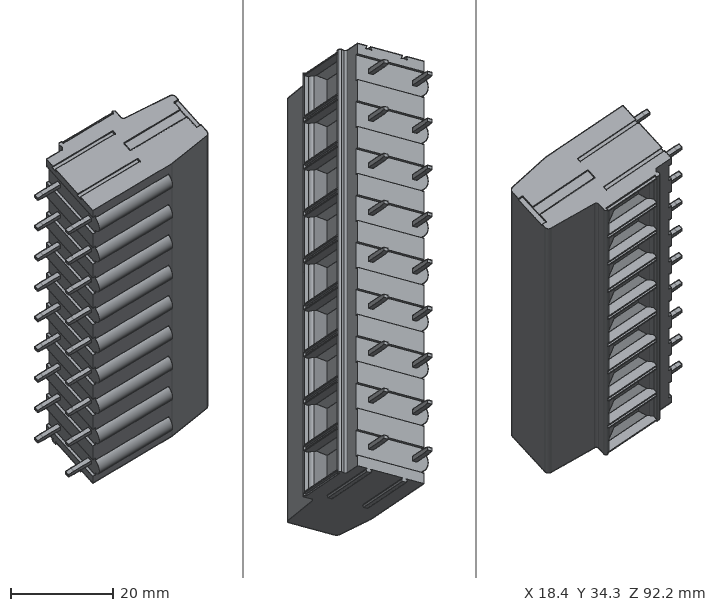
import cadquery as cq


pole_count = 9
pole_pitch = 10.16
body_length = pole_count * pole_pitch
total_width = 18.4
total_height = 34.3
body_height = 29.34

base_left = 1.65
base_right = 17.05
nose_bottom = 4.0
nose_top = 17.75
nose_corner = 0.45
nose_lip_rise = 0.2
nose_lip_end = 1.1
tower_foot = (2.75, 18.35)
tower_left_top = 3.65
tower_right_foot = 19.2
tower_right_top = 15.55
tower_corner = 0.9

mouth_low = 4.97
mouth_high = 16.9
mouth_half_length = 4.38
mouth_straight_depth = 1.95
mouth_low_lip_depth = 0.95
mouth_low_bend = (1.6, 5.54)
mouth_ledge_depth = 1.0
mouth_ledge_end = (1.75, 16.05)
mouth_ledge_radius = 1.0
mouth_floor_depth = 3.0
floor_low = 7.2
floor_high = 13.25
floor_half_length = 2.77

relief_depth = 0.55
relief_half_width = 0.42
relief_high = 17.15

channel_width = 5.55
channel_depth = 0.6
rib_chord = 4.4
rib_top = 18.4

pin_side = 1.0
pin_first_x = 5.08
pin_spacing = 10.16
pin_columns = 2
pin_tip_length = 1.3
pin_tip_inset = 0.15
pin_embed = 1.0

rail_centers = (4.25, 12.5)
rail_neck_width = 0.85
rail_wide_width = 1.35
rail_foot_width = 0.95
rail_wide_depth = 0.35
rail_depth = 0.75
rail_length = 14.2
slot_length = 14.55
slot_depth = 0.65

groove_depth = 0.3
label_depth = 0.42
groove_left = 7.45
groove_right = 9.65
groove_low = 14.55
label_left = 5.3
label_right = 12.85
label_low = 28.29


def pole_center(index):
    """Z of the middle of a pole."""
    return (index + 0.5) * pole_pitch


def box(x_range, y_range, z_range):
    """Axis-aligned block between the given limits."""
    size = [high - low for low, high in (x_range, y_range, z_range)]
    corner = (x_range[0], y_range[0], z_range[0])
    return cq.Workplane("XY").box(*size, centered=False).translate(corner)


def make_housing():
    """Constant section swept along the row of poles."""
    nose_top_fillet = tower_foot[1] - nose_top
    nose_lip_y = nose_bottom + nose_lip_rise
    nose_bottom_fillet = base_left - nose_lip_end
    outline = (
        cq.Workplane("XY")
        .moveTo(base_left, 0)
        .lineTo(base_right, 0)
        .lineTo(base_right, tower_right_foot)
        .lineTo(tower_right_top, body_height)
        .lineTo(tower_left_top, body_height)
        .lineTo(*tower_foot)
        .radiusArc((tower_foot[0] - nose_top_fillet, nose_top), nose_top_fillet)
        .lineTo(nose_corner, nose_top)
        .radiusArc((0, nose_top - nose_corner), -nose_corner)
        .lineTo(0, nose_bottom + nose_corner)
        .radiusArc((nose_corner, nose_bottom), -nose_corner)
        .lineTo(nose_lip_end, nose_lip_y)
        .radiusArc((base_left, nose_lip_y - nose_bottom_fillet), nose_bottom_fillet)
        .close()
    )
    housing = outline.extrude(body_length)
    return housing.edges("|Z").edges(">Y").fillet(tower_corner)


def make_mouth():
    """Funnel-shaped wire mouth centred on Z = 0."""
    across = (
        cq.Workplane("XY")
        .moveTo(0, mouth_low)
        .lineTo(mouth_low_lip_depth, mouth_low)
        .lineTo(*mouth_low_bend)
        .lineTo(mouth_floor_depth, floor_low)
        .lineTo(mouth_floor_depth, floor_high)
        .lineTo(*mouth_ledge_end)
        .radiusArc((mouth_ledge_depth, mouth_high), mouth_ledge_radius)
        .lineTo(0, mouth_high)
        .close()
        .extrude(mouth_half_length, both=True)
    )
    along = (
        cq.Workplane("XZ")
        .polyline(
            [
                (0, -mouth_half_length),
                (mouth_straight_depth, -mouth_half_length),
                (mouth_floor_depth, -floor_half_length),
                (mouth_floor_depth, floor_half_length),
                (mouth_straight_depth, mouth_half_length),
                (0, mouth_half_length),
            ]
        )
        .close()
        .extrude(-body_height)
    )
    return across.intersect(along)


def make_relief(z):
    """Shallow groove between neighbouring mouth rims, centred on a pole boundary."""
    return box((0, relief_depth), (mouth_low, relief_high), (z - relief_half_width, z + relief_half_width))


def make_channel(z):
    """Cross channel in the underside."""
    half = channel_width / 2
    return box((base_left, base_right), (0, channel_depth), (z - half, z + half))


def make_rib(z):
    """Round-backed rib on the +X flank."""
    rise = total_width - base_right
    radius = ((rib_chord / 2) ** 2 + rise**2) / (2 * rise)
    rib = (
        cq.Workplane("XZ")
        .center(total_width - radius, z)
        .circle(radius)
        .extrude(-(rib_top - channel_depth))
        .translate((0, channel_depth, 0))
    )
    flank = box((base_right - rise, total_width), (0, body_height), (z - radius, z + radius))
    return rib.intersect(flank)


def make_pin(x, z):
    """Square solder pin whose tip narrows along Z."""
    half = pin_side / 2
    tip_half = half - pin_tip_inset
    tip = body_height - total_height
    shoulder = tip + pin_tip_length
    return (
        cq.Workplane("YZ")
        .polyline(
            [
                (channel_depth + pin_embed, z - half),
                (channel_depth + pin_embed, z + half),
                (shoulder, z + half),
                (tip, z + tip_half),
                (tip, z - tip_half),
                (shoulder, z - half),
            ]
        )
        .close()
        .extrude(half, both=True)
        .translate((x, 0, 0))
    )


def make_rail(x):
    """Undercut rail hanging from the lower end face."""
    return (
        cq.Workplane("XZ")
        .polyline(
            [
                (x - rail_neck_width / 2, 0),
                (x - rail_wide_width / 2, -rail_wide_depth),
                (x - rail_foot_width / 2, -rail_depth),
                (x + rail_foot_width / 2, -rail_depth),
                (x + rail_wide_width / 2, -rail_wide_depth),
                (x + rail_neck_width / 2, 0),
            ]
        )
        .close()
        .extrude(-rail_length)
    )


def make_slot(x):
    """Dovetail slot in the upper end face, matching a rail."""
    return (
        cq.Workplane("XZ")
        .polyline(
            [
                (x - rail_neck_width / 2, body_length),
                (x - rail_wide_width / 2, body_length - slot_depth),
                (x + rail_wide_width / 2, body_length - slot_depth),
                (x + rail_neck_width / 2, body_length),
            ]
        )
        .close()
        .extrude(-slot_length)
    )


def make_end_recess(left, right, low, depth):
    """Flat recess in the upper end face, open at the top of the tower."""
    return box((left, right), (low, body_height), (body_length - depth, body_length))


result = make_housing()

mouth = make_mouth()
for pole in range(pole_count):
    center = pole_center(pole)
    result = result.cut(mouth.translate((0, 0, center))).cut(make_channel(center))
    result = result.union(make_rib(center))
    for column in range(pin_columns):
        result = result.union(make_pin(pin_first_x + column * pin_spacing, center))

for boundary in range(pole_count + 1):
    result = result.cut(make_relief(boundary * pole_pitch))

for rail_x in rail_centers:
    result = result.union(make_rail(rail_x)).cut(make_slot(rail_x))

result = result.cut(make_end_recess(groove_left, groove_right, groove_low, groove_depth))
result = result.cut(make_end_recess(label_left, label_right, label_low, label_depth))